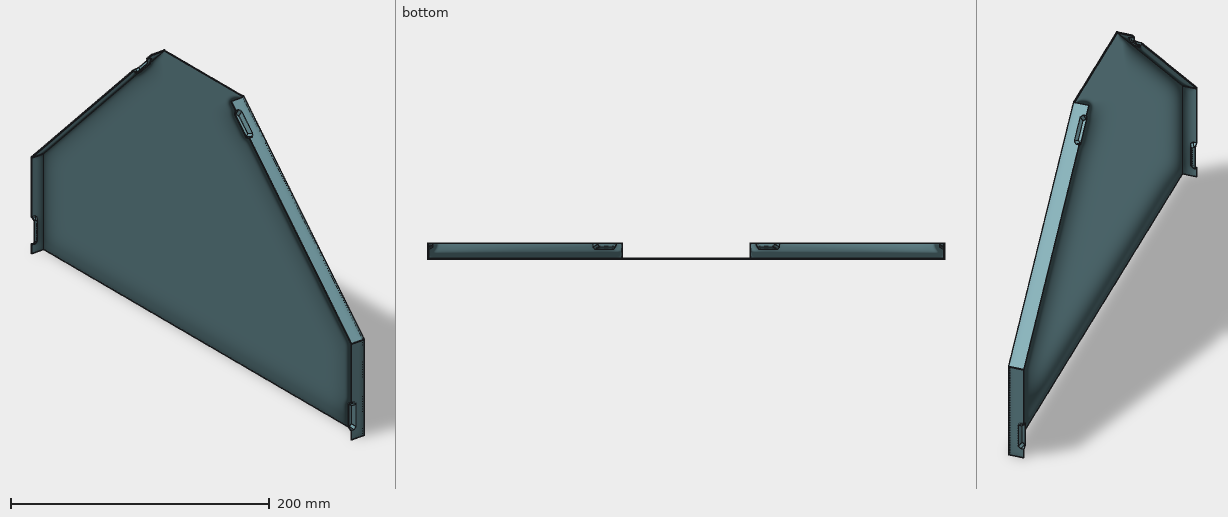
import cadquery as cq
import math

sheet = 1.0
ear_length = 1.0
width = 400.0
depth = 12.5
plate_height = 234.0
top_half_width = 50.0
slant_angle = 45.0

half_width = width / 2
plate_front = depth - sheet
ear_rise = ear_length * math.sin(math.radians(slant_angle))
slant_run = half_width - top_half_width
side_height = plate_height - slant_run * math.tan(math.radians(slant_angle))
slant_length = slant_run / math.cos(math.radians(slant_angle))
corner_gap = 0.8
side_flange_length = side_height - corner_gap

dimple_length = 23.4
dimple_reach = 4.4
dimple_depth = 3.3
dimple_inset = 2.0
dimple_corner = 2.0
dimple_from_end = 20.0


def make_plate():
    """Back plate, with a small ear rising above the flat top at each upper corner."""
    ear_tip = top_half_width - ear_rise
    ear_foot = ear_tip - ear_rise
    outline = [
        (-half_width, 0),
        (half_width, 0),
        (half_width, side_height),
        (ear_tip, plate_height + ear_rise),
        (ear_foot, plate_height),
        (-ear_foot, plate_height),
        (-ear_tip, plate_height + ear_rise),
        (-half_width, side_height),
    ]
    return cq.Workplane("XZ").polyline(outline).close().extrude(-sheet).translate((0, plate_front, 0))


def dimple_outline(inset):
    """Corner-cut outline, open-edge side at Y = 0, as (Y, Z) points."""
    half = dimple_length / 2 - inset
    reach = dimple_reach - inset
    return [
        (0, -half),
        (reach - dimple_corner, -half),
        (reach, -half + dimple_corner),
        (reach, half - dimple_corner),
        (reach - dimple_corner, half),
        (0, half),
    ]


def dimple_form(start_x, growth):
    """Tapered form whose sloping walls narrow from start_x inward; growth enlarges it evenly."""
    return (
        cq.Workplane("YZ", origin=(start_x, 0, 0))
        .polyline(dimple_outline(-growth))
        .close()
        .workplane(offset=dimple_depth)
        .polyline(dimple_outline(dimple_inset - growth))
        .close()
        .loft(ruled=True)
    )


def make_flange(length, dimple_z):
    """Upright flange with its outer face at X = 0 and its inside toward +X."""
    flange = cq.Workplane("XY").box(sheet, depth, length, centered=False)
    lean = math.atan(dimple_inset / dimple_depth)
    wall_growth = sheet * (1 / math.cos(lean) - math.tan(lean))
    at_dimple = (0, 0, dimple_z)
    flange = flange.union(dimple_form(sheet, wall_growth).translate(at_dimple))
    return flange.cut(dimple_form(0, 0).translate(at_dimple))


def make_left_flanges():
    side = make_flange(side_flange_length, dimple_from_end).translate((-half_width, 0, 0))
    slant = (
        make_flange(slant_length, slant_length - dimple_from_end)
        .rotate((0, 0, 0), (0, 1, 0), slant_angle)
        .translate((-half_width, 0, side_height))
    )
    return side.union(slant)


left_flanges = make_left_flanges()
right_flanges = left_flanges.mirror("YZ")
result = make_plate().union(left_flanges).union(right_flanges)